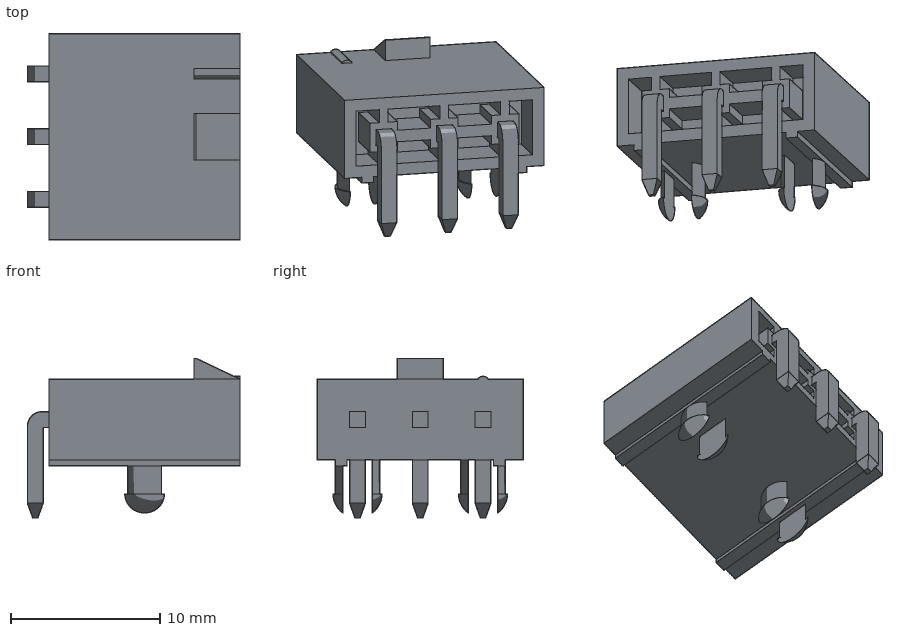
import cadquery as cq
import math

housing_length = 12.8
housing_width = 13.8
housing_height = 5.4
wall = 0.8
rear_x = -housing_length / 2
front_x = housing_length / 2
cavity_width = housing_width - 2 * wall
cavity_height = housing_height - 2 * wall
cavity_depth = 3.0
mid_z = housing_height / 2

pitch = 4.2
contact_ys = [-pitch, 0, pitch]
block_width = 1.9
block_height = 2.0
neck_width = 0.6
bar_height = 0.8

pin_size = 1.07
pin_overhang = 1.45
pin_bend_radius = 1.0
pin_tip_z = -3.9
pin_tip_size = 0.35
pin_taper_length = 1.0

latch_length = 3.1
latch_width = 3.1
latch_height = 1.4
latch_crest = 0.15
ridge_length = latch_length
ridge_width = 0.7
ridge_height = 0.2
ridge_y = pitch

rail_width = 0.8
rail_height = 0.4
peg_radius = 1.5
peg_slot = 1.95
peg_ys = [-pitch, pitch]
rail_offset = pitch + peg_radius - rail_width / 2
bulb_radius = 1.65
bulb_top_z = -2.3
bulb_height = 1.55
housing_overlap = 0.4


def bar_from_rear(length, width, height, y, z):
    """Rectangular bar that runs forward from the rear face, centred at (y, z)."""
    return cq.Workplane("YZ", origin=(rear_x, y, z)).rect(width, height).extrude(length)


def make_web():
    """Contact blocks on vertical necks, joined by one horizontal bar."""
    web = bar_from_rear(cavity_depth, 2 * pitch, bar_height, 0, mid_z)
    for y in contact_ys:
        web = web.union(bar_from_rear(cavity_depth, block_width, block_height, y, mid_z))
        web = web.union(bar_from_rear(cavity_depth, neck_width, cavity_height, y, mid_z))
    return web


def make_latch():
    """Ramp that rises from the front edge to a short flat crest."""
    back_x = front_x - latch_length
    top_z = housing_height + latch_height
    return (
        cq.Workplane("XZ")
        .moveTo(back_x, housing_height)
        .lineTo(back_x, top_z)
        .lineTo(back_x + latch_crest, top_z)
        .lineTo(front_x, housing_height)
        .close()
        .extrude(latch_width / 2, both=True)
    )


def make_ridge():
    """Low round-topped ridge that ends at the front face."""
    root_z = housing_height - housing_overlap
    half_width = ridge_width / 2
    return (
        cq.Workplane("YZ", origin=(front_x - ridge_length, ridge_y, 0))
        .moveTo(-half_width, root_z)
        .lineTo(-half_width, housing_height)
        .threePointArc((0, housing_height + ridge_height), (half_width, housing_height))
        .lineTo(half_width, root_z)
        .close()
        .extrude(ridge_length)
    )


def make_peg(y):
    """Round snap peg with a domed bulb, split by a wide slot into two prongs."""
    dome_angle = math.radians(45)
    dome_mid = (bulb_radius * math.cos(dome_angle), bulb_top_z - bulb_height * math.sin(dome_angle))
    bulb_bottom_z = bulb_top_z - bulb_height
    peg = (
        cq.Workplane("XZ")
        .moveTo(0, housing_overlap)
        .lineTo(peg_radius, housing_overlap)
        .lineTo(peg_radius, bulb_top_z)
        .lineTo(bulb_radius, bulb_top_z)
        .threePointArc(dome_mid, (0, bulb_bottom_z))
        .close()
        .revolve(360, (0, 0, 0), (0, 1, 0))
    )
    slot_height = -2 * bulb_bottom_z
    slot = cq.Workplane("XY").box(2 * bulb_radius, peg_slot, slot_height)
    slot = slot.translate((0, 0, bulb_bottom_z))
    return peg.cut(slot).translate((0, y, 0))


def make_pin(y):
    """Right-angle square pin with a rounded elbow and a tapered solder tip."""
    outer_x = rear_x - pin_overhang
    inner_x = outer_x + pin_size
    top_z = mid_z + pin_size / 2
    taper_z = pin_tip_z + pin_taper_length
    elbow_inset = pin_bend_radius * (1 - math.sqrt(0.5))
    pin = (
        cq.Workplane("XZ")
        .moveTo(outer_x, taper_z)
        .lineTo(outer_x, top_z - pin_bend_radius)
        .threePointArc(
            (outer_x + elbow_inset, top_z - elbow_inset),
            (outer_x + pin_bend_radius, top_z),
        )
        .lineTo(front_x, top_z)
        .lineTo(front_x, top_z - pin_size)
        .lineTo(inner_x, top_z - pin_size)
        .lineTo(inner_x, taper_z)
        .close()
        .extrude(pin_size / 2, both=True)
    )
    tip = (
        cq.Workplane("XY", origin=((outer_x + inner_x) / 2, 0, taper_z))
        .rect(pin_size, pin_size)
        .workplane(offset=-pin_taper_length)
        .rect(pin_tip_size, pin_tip_size)
        .loft()
    )
    return pin.union(tip).translate((0, y, 0))


def make_housing():
    """Block with a blind rear cavity and contact web, latch, ridge, rails and pegs."""
    body = bar_from_rear(housing_length, housing_width, housing_height, 0, mid_z)
    body = body.cut(bar_from_rear(cavity_depth, cavity_width, cavity_height, 0, mid_z))
    body = body.union(make_web())
    body = body.union(make_latch()).union(make_ridge())
    for side in (-1, 1):
        rail_y = side * rail_offset
        rail = bar_from_rear(housing_length, rail_width, rail_height, rail_y, -rail_height / 2)
        body = body.union(rail)
    for y in peg_ys:
        body = body.union(make_peg(y))
    for y in contact_ys:
        body = body.cut(bar_from_rear(housing_length, pin_size, pin_size, y, mid_z))
    return body


housing = make_housing()
pins = [make_pin(y) for y in contact_ys]

result = cq.Compound.makeCompound([housing.val(), *[pin.val() for pin in pins]])